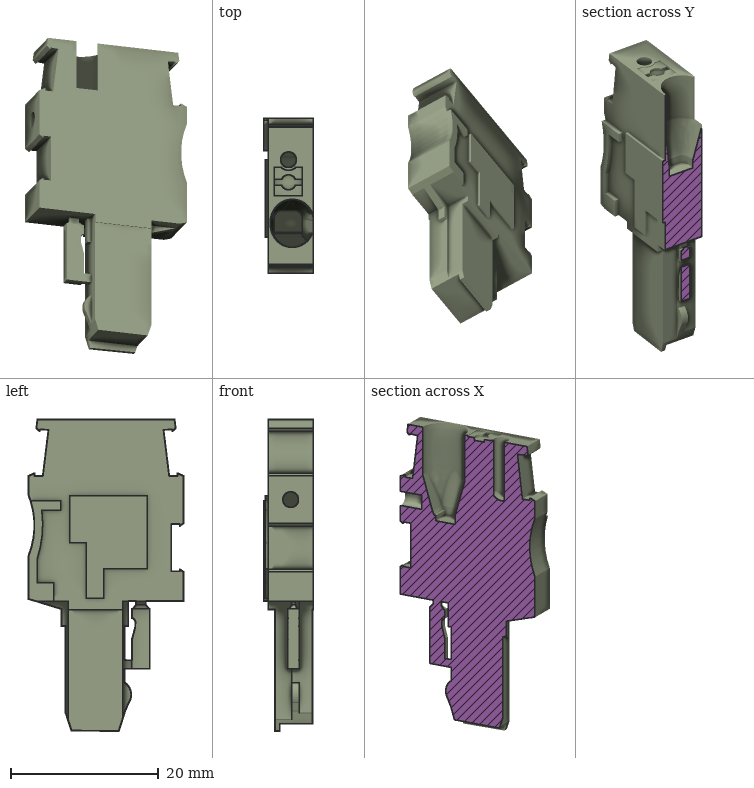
import cadquery as cq

HEIGHT = 42.15
DEPTH = 21.0

CLIP_X = 0.0
PAD_X = 0.25
BODY_LEFT = 0.65
TONGUE_LEFT = 1.5
CORE_LEFT = 3.8
CORE_RIGHT = 4.8
TONGUE_RIGHT = 6.6
BODY_RIGHT = 6.75

BODY_BOTTOM = 17.6
SLOPE_TOP = 17.9
SLOPE_CORNER_Y = 20.0
SHOULDER_Z = 34.55
HOOK_RISE = 0.4
HOOK_Y = 0.85
HEAD_TOP_INSET = 1.22
LIP_INSET, LIP_Z = 1.05, 41.0
BARB_INSET, BARB_Z = 1.5, 40.55
UNDERCUT_INSET, UNDERCUT_Z = 1.6, 40.8
NECK_TOP_INSET, NECK_TOP_Z = 2.7, 40.75
NECK_INSET = 1.95
GROOVE_TOP = 28.0
GROOVE_BOTTOM = 21.68
GROOVE_DEPTH = 1.65
GROOVE_LIP_Y = 0.55
GROOVE_LIP = 0.25
GROOVE_LIP_SETBACK = 0.13
GRIP_TOP = 31.95
GRIP_BOTTOM = 23.7
GRIP_DEPTH = 0.8

LATCH_TOP = 31.15
LATCH_ARM_Y = 16.6
LATCH_ARM_BOTTOM = 29.9
LATCH_CURVE_TOP_Y = 19.2
LATCH_CURVE_MIDDLE = (19.1, 26.9)
LATCH_CURVE_END = (19.8, 23.25)
LATCH_FOOT_TOP = 20.1
LATCH_FOOT_Y = 17.55

PAD_FRONT, PAD_BACK = 4.95, 15.4
PAD_TOP = 31.9
PAD_FRONT_BOTTOM = 21.95
PAD_BACK_BOTTOM = 25.5
STEM_FRONT, STEM_BACK = 10.8, 13.2
STEM_BOTTOM = 17.95

PLATE_FRONT = 8.25
PLATE_BACK = 15.6
CORE_FRONT = 7.95
CORE_BACK = 16.0
NECK_BOTTOM = 16.45
TAPER_TOP = 2.55
TIP_FRONT = 8.77
TIP_BACK = 15.2
TIP_RISE = 0.1
RELIEF_X = 2.2
RELIEF_Z = 1.0
CAM_TOP = 6.58
CAM_CREST = (7.1, 5.1)
CAM_ROUND_END = (7.4, 3.92)
CAM_BOTTOM = 2.8
COLLAR_FRONT = 7.45
COLLAR_BACK = 16.55
COLLAR_BOTTOM = 14.2
COLLAR_SLOPE_END = 16.55

PIN_LEFT = 3.3
PIN_FRONT = 4.55
PIN_BACK = 7.0
PIN_BOTTOM = 8.45
PIN_TOP = 16.57
PIN_SHOULDER = 17.08
PIN_BASE_SIZE = (1.05, 2.2)
PIN_STEM_SIZE = (0.5, 1.35)
PIN_NOTCH_TOP = 15.3
PIN_NOTCH_ROUND_MIDDLE = (6.7, 15.15)
PIN_NOTCH_ROUND_END = (6.55, 14.68)
PIN_NOTCH_SLOPE_START = (6.58, 14.0)
PIN_NOTCH_BOTTOM = 12.45
FOOT_TOP = 9.6
FOOT_FILLET = 0.2

HOLE_RADIUS = 1.05
TEST_HOLE_X, TEST_HOLE_Y = 3.37, 15.4
TEST_HOLE_DEPTH = 8.45
TEST_HOLE_BEND_Y = 15.77
TEST_HOLE_BEND_RADIUS = 1.7
FRONT_HOLE_X, FRONT_HOLE_Z = 3.65, 31.35
FRONT_HOLE_DEPTH = 3.37
MARK_LEFT, MARK_RIGHT = 1.45, 5.25
MARK_FRONT, MARK_BACK = 10.55, 14.4
MARK_DEPTH = 0.13
MARK_CLEARANCE = 1.45
SLOT_FRONT, SLOT_BACK = 11.95, 12.75
SLOT_RADIUS = 1.0
SLOT_DEPTH = 0.5
ENTRY_X, ENTRY_Y = 3.9, 6.8
ENTRY_RADII = (3.0, 3.25)
THROAT_LEFT, THROAT_RIGHT = 1.45, 5.25
THROAT_FRONT, THROAT_BACK = 5.1, 8.5
THROAT_CORNER = 1.05
MOUTH_CORNER = 2.85
STRAIGHT_DEPTH = 6.75
FUNNEL_DEPTH = 11.8
SIDE_WINDOW = 3.05
LEDGE_WIDTH = 0.25
LEDGE_DROP = 0.5
WELL_DEPTH = 1.25


def slab(outline, left, right):
    """Extrude a closed Y-Z outline from one X position to another."""
    return outline.close().extrude(right - left).translate((left, 0, 0))


def polygon(points, left, right):
    return slab(cq.Workplane("YZ").polyline(points), left, right)


def block(x, y, z):
    """Box spanning the given (low, high) pairs."""
    size = [high - low for low, high in (x, y, z)]
    return cq.Workplane("XY").box(*size, centered=False).translate((x[0], y[0], z[0]))


def head_side(mirrored):
    """Points of one side of the head, from the top down to the shoulder edge."""
    points = [
        (HEAD_TOP_INSET, HEIGHT),
        (LIP_INSET, LIP_Z),
        (BARB_INSET, BARB_Z),
        (UNDERCUT_INSET, UNDERCUT_Z),
        (NECK_TOP_INSET, NECK_TOP_Z),
        (NECK_INSET, SHOULDER_Z),
        (HOOK_Y, SHOULDER_Z),
        (HOOK_Y, SHOULDER_Z + HOOK_RISE),
        (0, SHOULDER_Z),
    ]
    if mirrored:
        return [(DEPTH - y, z) for y, z in points]
    return points


def housing():
    front_groove = [
        (0, GROOVE_TOP + GROOVE_LIP_SETBACK),
        (GROOVE_LIP_Y, GROOVE_TOP - GROOVE_LIP),
        (GROOVE_LIP_Y, GROOVE_TOP),
        (GROOVE_DEPTH, GROOVE_TOP),
        (GROOVE_DEPTH, GROOVE_BOTTOM),
        (GROOVE_LIP_Y, GROOVE_BOTTOM),
        (GROOVE_LIP_Y, GROOVE_BOTTOM + GROOVE_LIP),
        (0, GROOVE_BOTTOM - GROOVE_LIP_SETBACK),
    ]
    back_corner = [(SLOPE_CORNER_Y, BODY_BOTTOM), (DEPTH, SLOPE_TOP)]
    outline = head_side(False) + front_groove + [(0, BODY_BOTTOM)] + back_corner
    outline += head_side(True)[::-1]
    return polygon(outline, BODY_LEFT, BODY_RIGHT)


def finger_grip():
    """Cutter for the concave stretch of the back face."""
    middle = (DEPTH - GRIP_DEPTH, (GRIP_TOP + GRIP_BOTTOM) / 2)
    outline = cq.Workplane("YZ").moveTo(DEPTH, GRIP_TOP).threePointArc(middle, (DEPTH, GRIP_BOTTOM))
    return slab(outline, CLIP_X, BODY_RIGHT)


def latch():
    outline = (
        cq.Workplane("YZ")
        .moveTo(DEPTH, LATCH_TOP)
        .lineTo(LATCH_ARM_Y, LATCH_TOP)
        .lineTo(LATCH_ARM_Y, LATCH_ARM_BOTTOM)
        .lineTo(LATCH_CURVE_TOP_Y, LATCH_ARM_BOTTOM)
        .threePointArc(LATCH_CURVE_MIDDLE, LATCH_CURVE_END)
        .lineTo(LATCH_CURVE_END[0], LATCH_FOOT_TOP)
        .lineTo(LATCH_FOOT_Y, LATCH_FOOT_TOP)
        .lineTo(LATCH_FOOT_Y, BODY_BOTTOM)
        .lineTo(SLOPE_CORNER_Y, BODY_BOTTOM)
        .lineTo(DEPTH, SLOPE_TOP)
    )
    return slab(outline, CLIP_X, BODY_LEFT)


def label_pad():
    points = [
        (PAD_FRONT, PAD_TOP), (PAD_BACK, PAD_TOP), (PAD_BACK, PAD_BACK_BOTTOM), (STEM_BACK, PAD_BACK_BOTTOM),
        (STEM_BACK, STEM_BOTTOM), (STEM_FRONT, STEM_BOTTOM), (STEM_FRONT, PAD_FRONT_BOTTOM),
        (PAD_FRONT, PAD_FRONT_BOTTOM),
    ]
    return polygon(points, PAD_X, BODY_LEFT)


def tongue_taper_y(z):
    """Front of the tongue on its tapered end."""
    return TIP_FRONT + (CORE_FRONT - TIP_FRONT) * z / TAPER_TOP


def tongue_layer(front, back, left, right):
    taper_top = (TIP_FRONT - front) / (TIP_FRONT - CORE_FRONT) * TAPER_TOP
    back_taper_top = TIP_RISE + (back - TIP_BACK) / (CORE_BACK - TIP_BACK) * (TAPER_TOP - TIP_RISE)
    points = [
        (front, BODY_BOTTOM), (front, taper_top), (TIP_FRONT, 0),
        (TIP_BACK, TIP_RISE), (back, back_taper_top), (back, BODY_BOTTOM),
    ]
    return polygon(points, left, right)


def cam():
    """Rounded nose on the front of the core layer."""
    outline = (
        cq.Workplane("YZ")
        .moveTo(CORE_FRONT, CAM_TOP)
        .threePointArc(CAM_CREST, CAM_ROUND_END)
        .lineTo(tongue_taper_y(CAM_BOTTOM), CAM_BOTTOM)
        .lineTo(CORE_FRONT, TAPER_TOP)
    )
    return slab(outline, CORE_LEFT, CORE_RIGHT)


def collar():
    points = [
        (COLLAR_FRONT, BODY_BOTTOM), (COLLAR_FRONT, COLLAR_BOTTOM), (COLLAR_BACK, COLLAR_BOTTOM),
        (COLLAR_BACK, COLLAR_SLOPE_END), (SLOPE_CORNER_Y, BODY_BOTTOM),
    ]
    return polygon(points, CORE_LEFT, CORE_RIGHT)


def tongue():
    plate = tongue_layer(PLATE_FRONT, PLATE_BACK, TONGUE_LEFT, CORE_LEFT)
    core = tongue_layer(CORE_FRONT, CORE_BACK, CORE_LEFT, TONGUE_RIGHT)
    neck_z = (NECK_BOTTOM, BODY_BOTTOM)
    left_neck = block((BODY_LEFT, CORE_LEFT), (PLATE_FRONT, PLATE_BACK), neck_z)
    right_neck = block((CORE_LEFT, BODY_RIGHT), (CORE_FRONT, CORE_BACK), neck_z)
    relief = block((RELIEF_X, BODY_RIGHT), (0, DEPTH), (0, RELIEF_Z))
    blade = plate.union(core).cut(relief)
    return blade.union(left_neck).union(right_neck).union(cam()).union(collar())


def coding_pin():
    outline = (
        cq.Workplane("YZ")
        .moveTo(PIN_FRONT, PIN_BOTTOM)
        .lineTo(PIN_FRONT, PIN_TOP)
        .lineTo(PIN_BACK, PIN_TOP)
        .lineTo(PIN_BACK, PIN_NOTCH_TOP)
        .threePointArc(PIN_NOTCH_ROUND_MIDDLE, PIN_NOTCH_ROUND_END)
        .lineTo(*PIN_NOTCH_SLOPE_START)
        .lineTo(PIN_BACK, PIN_NOTCH_BOTTOM)
        .lineTo(PIN_BACK, PIN_BOTTOM)
    )
    shank = slab(outline, PIN_LEFT, CORE_RIGHT)
    center = ((PIN_LEFT + CORE_RIGHT) / 2, (PIN_FRONT + PIN_BACK) / 2)
    shoulder = (
        cq.Workplane("XY", origin=(*center, PIN_TOP))
        .rect(*PIN_BASE_SIZE)
        .workplane(offset=PIN_SHOULDER - PIN_TOP)
        .rect(*PIN_STEM_SIZE)
        .loft()
    )
    stem = (
        cq.Workplane("XY", origin=(*center, PIN_SHOULDER))
        .rect(*PIN_STEM_SIZE)
        .extrude(BODY_BOTTOM - PIN_SHOULDER)
    )
    foot_outline = (
        cq.Workplane("YZ")
        .moveTo(PIN_BACK, PIN_BOTTOM)
        .lineTo(PIN_BACK, FOOT_TOP)
        .lineTo(CORE_FRONT - FOOT_FILLET, FOOT_TOP)
        .radiusArc((CORE_FRONT, FOOT_TOP + FOOT_FILLET), -FOOT_FILLET)
        .lineTo(CORE_FRONT, PIN_BOTTOM)
    )
    foot = slab(foot_outline, CORE_LEFT, CORE_RIGHT)
    return shank.union(shoulder).union(stem).union(foot)


def round_hole(x, y, radius, depth):
    """Vertical cutter going down from the top face."""
    return cq.Workplane("XY", origin=(x, y, HEIGHT - depth)).circle(radius).extrude(depth)


def test_hole():
    """Round hole whose floor curves upwards towards the front."""
    floor_z = HEIGHT - TEST_HOLE_DEPTH
    radius = TEST_HOLE_BEND_RADIUS
    outline = (
        cq.Workplane("YZ")
        .moveTo(DEPTH, floor_z)
        .lineTo(TEST_HOLE_BEND_Y, floor_z)
        .radiusArc((TEST_HOLE_BEND_Y - radius, floor_z + radius), radius)
        .lineTo(TEST_HOLE_BEND_Y - radius, HEIGHT)
        .lineTo(DEPTH, HEIGHT)
    )
    hole = round_hole(TEST_HOLE_X, TEST_HOLE_Y, HOLE_RADIUS, TEST_HOLE_DEPTH)
    return hole.intersect(slab(outline, CLIP_X, BODY_RIGHT))


def front_hole():
    plane = cq.Workplane("XZ", origin=(FRONT_HOLE_X, 0, FRONT_HOLE_Z))
    return plane.circle(HOLE_RADIUS).extrude(-FRONT_HOLE_DEPTH)


def marking():
    """Shallow rectangular recess with a deeper screw-head symbol."""
    x = (MARK_LEFT, MARK_RIGHT)
    recess = block(x, (MARK_FRONT, MARK_BACK), (HEIGHT - MARK_DEPTH, HEIGHT))
    recess = recess.cut(round_hole(TEST_HOLE_X, TEST_HOLE_Y, MARK_CLEARANCE, MARK_DEPTH))
    slot = block(x, (SLOT_FRONT, SLOT_BACK), (HEIGHT - SLOT_DEPTH, HEIGHT))
    dot = round_hole(TEST_HOLE_X, (SLOT_FRONT + SLOT_BACK) / 2, SLOT_RADIUS, SLOT_DEPTH)
    return recess.union(slot).union(dot)


def d_outline(left, right, front, back, corner, z):
    """Rectangle at height z whose two back corners are rounded."""
    middle = 0.5 ** 0.5 * corner
    return (
        cq.Workplane("XY", origin=(0, 0, z))
        .moveTo(left, front)
        .lineTo(right, front)
        .lineTo(right, back - corner)
        .threePointArc((right - corner + middle, back - corner + middle), (right - corner, back))
        .lineTo(left + corner, back)
        .threePointArc((left + corner - middle, back - corner + middle), (left, back - corner))
        .close()
    )


def entry_shaft(bottom, top):
    """Oval shaft with a side window through the right wall."""
    oval = cq.Workplane("XY", origin=(ENTRY_X, ENTRY_Y, bottom)).ellipse(*ENTRY_RADII).extrude(top - bottom)
    window_y = (ENTRY_Y - SIDE_WINDOW / 2, ENTRY_Y + SIDE_WINDOW / 2)
    return oval.union(block((ENTRY_X, BODY_RIGHT), window_y, (bottom, top)))


def wire_entry():
    """Oval mouth that opens through the right side and funnels down to a stepped throat."""
    rx, ry = ENTRY_RADII
    mouth_z = HEIGHT - STRAIGHT_DEPTH
    floor_z = HEIGHT - FUNNEL_DEPTH
    throat = d_outline(THROAT_LEFT, THROAT_RIGHT, THROAT_FRONT, THROAT_BACK, THROAT_CORNER, floor_z)
    mouth = d_outline(ENTRY_X - rx, BODY_RIGHT, ENTRY_Y - ry, ENTRY_Y + ry, MOUTH_CORNER, mouth_z)
    funnel = cq.Workplane(cq.Solid.makeLoft([throat.val(), mouth.val()], True))
    funnel = funnel.intersect(entry_shaft(floor_z, mouth_z))

    ledge_y = THROAT_FRONT + LEDGE_WIDTH
    well_y = ledge_y + LEDGE_WIDTH
    stepped_floor = [
        (THROAT_FRONT, floor_z), (ledge_y, floor_z - LEDGE_DROP), (well_y, floor_z - LEDGE_DROP),
        (well_y, floor_z - WELL_DEPTH), (THROAT_BACK, floor_z - WELL_DEPTH), (THROAT_BACK, floor_z),
    ]
    well = throat.extrude(-WELL_DEPTH).intersect(polygon(stepped_floor, THROAT_LEFT, THROAT_RIGHT))
    return entry_shaft(mouth_z, HEIGHT).union(funnel).union(well)


body = housing().union(latch()).cut(finger_grip())
body = body.union(label_pad()).union(tongue()).union(coding_pin())
result = (
    body.cut(test_hole())
    .cut(front_hole())
    .cut(marking())
    .cut(wire_entry())
)